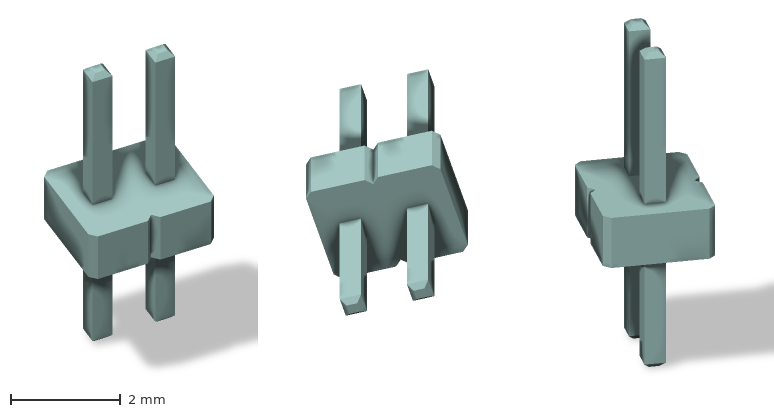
import cadquery as cq

pin_count = 2
housing_width = 2.1
row_length = 2.54
pitch = row_length / pin_count
housing_height = 1.0

corner_cut_x = 0.13
corner_cut_y = 0.125

pin_length = 6.3
pin_side = 0.405
pin_tail = 2.3
tip_chamfer = 0.1


def pin_position(index):
    """Y coordinate of a pin, with the row centred on the origin."""
    return (index - (pin_count - 1) / 2) * pitch


def housing_cell(y_center):
    """One octagonal block of the housing, standing on Z = 0."""
    half_x = housing_width / 2
    half_y = pitch / 2
    inner_x = half_x - corner_cut_x
    inner_y = half_y - corner_cut_y
    outline = [
        (inner_x, -half_y),
        (half_x, -inner_y),
        (half_x, inner_y),
        (inner_x, half_y),
        (-inner_x, half_y),
        (-half_x, inner_y),
        (-half_x, -inner_y),
        (-inner_x, -half_y),
    ]
    return (
        cq.Workplane("XY")
        .center(0, y_center)
        .polyline(outline)
        .close()
        .extrude(housing_height)
    )


def pin(y_center):
    """A square pin with chamfered tips, passing through the housing."""
    return (
        cq.Workplane("XY", origin=(0, y_center, -pin_tail))
        .rect(pin_side, pin_side)
        .extrude(pin_length)
        .faces("<Z or >Z")
        .chamfer(tip_chamfer)
    )


result = housing_cell(pin_position(0))
for index in range(1, pin_count):
    result = result.union(housing_cell(pin_position(index)))
result = result.clean()

for index in range(pin_count):
    result = result.union(pin(pin_position(index)))